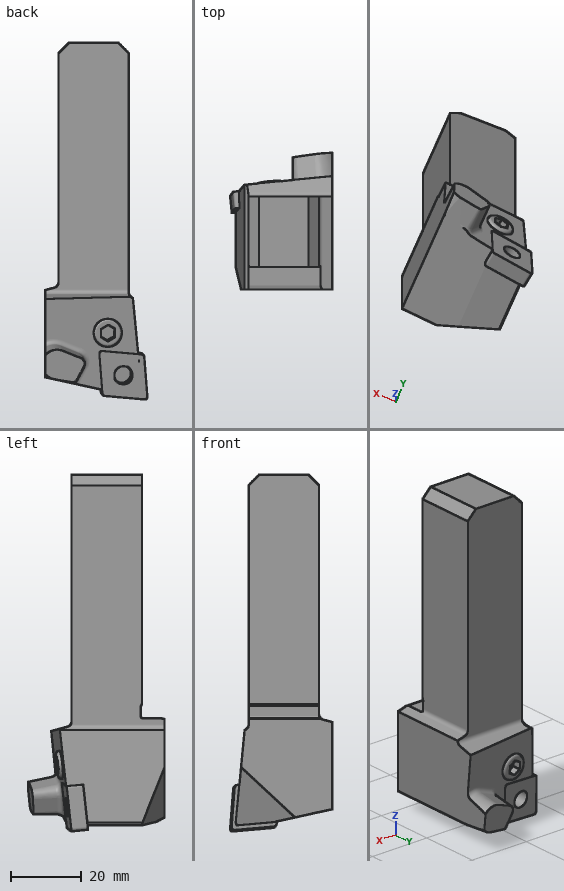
import cadquery as cq
import math

shank_width = 20.0
tool_top = 101.0
top_chamfer = 3.0
relief_depth = 0.3
relief_top = 36.1

head_right = 23.75
head_front = -6.4
outline_reach = 45.0
ledge_z = 32.1
ledge_root_radius = 0.5
ledge_margin = 1.0
shoulder_slope = math.tan(math.radians(15))
shoulder_radius = 1.4
side_shoulder_z = 31.0
back_shoulder_z = 30.0
left_radius = 1.6
left_hollow_top = 30.3
left_hollow_end = (-1.15, 28.75)
nose_upper = (-3.65, 2.5)
nose_lower = (-3.3, 1.75)
bottom_break = (7.4, 2.7)
bottom_right_z = 6.3
corner_cut_points = [(-2.1, head_front, 18.2), (13.2, head_front, 3.95), (-3.45, 0.0, 2.0)]

tilt_slope = math.tan(math.radians(5.75))
back_face_y = 25.75
back_face_z = 28.7

boss_wide = (21.2, 10.7, 5.1)
boss_low = (16.3, 6.6, 1.8)
boss_nose = (15.2, 10.8, 2.8)
boss_height = 8.12
boss_draft = 6.0
boss_root_fillet = 1.5

screw_centre = (6.0, 18.9)
screw_diameter = 8.0
screw_height = 1.0
screw_edge_radius = 0.8
socket_width = 4.0
socket_depth = 2.5

insert_corner = (-5.32, -0.08)
inscribed_diameter = 12.7
insert_angle = 80.0
insert_thickness = 4.76
insert_nose_radius = 0.8
insert_hole_diameter = 5.16
insert_edge = inscribed_diameter / math.sin(math.radians(insert_angle))
approach_angle = (90.0 - insert_angle) / 2

block_size = 200.0
cutter_size = 80.0
cut_start_x = -20.0
cut_length = 60.0
back_cut_reach = 12.0
root_search_radius = 20.0
tolerance = 0.01

back_normal = cq.Vector(-tilt_slope, 1, -tilt_slope).normalized()


def back_plane(x, z):
    """Plane on the back face at (x, z): local x runs up, local y runs towards +X."""
    y = back_face_y + tilt_slope * (x - head_right) + tilt_slope * (z - back_face_z)
    up = cq.Vector(0, 0, 1)
    up = up - back_normal * up.dot(back_normal)
    return cq.Plane(origin=(x, y, z), xDir=up, normal=back_normal)


def shoulder_fillet(foot_z):
    """Start, middle and end of the fillet from a wall at 0 to a shoulder falling away from foot_z."""
    slope_angle = math.atan(shoulder_slope)
    centre_z = foot_z - shoulder_radius * shoulder_slope + shoulder_radius / math.cos(slope_angle)
    end_angle = math.radians(270) - slope_angle
    angles = (math.pi, (math.pi + end_angle) / 2, end_angle)
    return [
        (shoulder_radius * (1 + math.cos(a)), centre_z + shoulder_radius * math.sin(a))
        for a in angles
    ]


def outline_prism():
    foot_z = side_shoulder_z + shoulder_slope * (head_right - shank_width)
    fillet = [(shank_width + d, z) for d, z in shoulder_fillet(foot_z)]
    hollow_start = (0, left_hollow_top)
    outline = (
        cq.Workplane("XZ", origin=(0, head_front, 0))
        .moveTo(*nose_lower)
        .lineTo(*bottom_break)
        .lineTo(head_right, bottom_right_z)
        .lineTo(head_right, side_shoulder_z)
        .lineTo(*fillet[2])
        .threePointArc(fillet[1], fillet[0])
        .lineTo(0, fillet[0][1])
        .lineTo(*hollow_start)
        .radiusArc(left_hollow_end, left_radius)
        .lineTo(*nose_upper)
        .close()
    )
    return outline.extrude(-outline_reach)


def boss_outline(plane):
    """Rounds joined by their outer tangents, in the axes of a plane centred on the wide round."""
    rounds = [
        (z - boss_wide[1], x - boss_wide[0], radius)
        for x, z, radius in (boss_wide, boss_low, boss_nose)
    ]

    def tangent_angle(start, end):
        """Angle of the outward normal of the tangent from one round to the next."""
        du = end[0] - start[0]
        dv = end[1] - start[1]
        return math.atan2(dv, du) - math.acos((start[2] - end[2]) / math.hypot(du, dv))

    def on_round(centre, angle):
        u, v, radius = centre
        return (u + radius * math.cos(angle), v + radius * math.sin(angle))

    count = len(rounds)
    leaving = [tangent_angle(rounds[i], rounds[(i + 1) % count]) for i in range(count)]
    outline = cq.Workplane(plane).moveTo(*on_round(rounds[-1], leaving[-1]))
    for i, centre in enumerate(rounds):
        arriving = leaving[i - 1]
        sweep = (leaving[i] - arriving) % (2 * math.pi)
        outline = outline.lineTo(*on_round(centre, arriving))
        outline = outline.threePointArc(
            on_round(centre, arriving + sweep / 2), on_round(centre, leaving[i])
        )
    return outline.close()


def screw_head():
    head = cq.Workplane(back_plane(*screw_centre)).circle(screw_diameter / 2).extrude(screw_height)
    return head.edges(cq.selectors.DirectionMinMaxSelector(back_normal)).fillet(screw_edge_radius)


def screw_socket():
    plane = back_plane(*screw_centre)
    across_corners = socket_width / math.cos(math.pi / 6)
    return (
        cq.Workplane(plane)
        .workplane(offset=screw_height)
        .polygon(6, across_corners)
        .extrude(-socket_depth)
    )


def backed_block():
    """Oversized block under the tilted back face, with the clamp boss and the screw head on it."""
    plane = back_plane(*boss_wide[:2])
    block = cq.Workplane(plane).rect(block_size, block_size).extrude(-block_size)
    block = block.union(boss_outline(plane).extrude(boss_height, taper=boss_draft))
    root_edges = []
    for edge in block.edges().vals():
        middle = plane.toLocalCoords(edge.Center())
        if abs(middle.z) < tolerance and middle.Length < root_search_radius:
            root_edges.append(edge)
    block = block.newObject(root_edges).fillet(boss_root_fillet)
    return block.union(screw_head()).cut(screw_socket())


def make_shank():
    shank = (
        cq.Workplane("XY", origin=(0, 0, left_hollow_top))
        .rect(shank_width, shank_width, centered=False)
        .extrude(tool_top - left_hollow_top)
        .faces(">Z").edges("|Y").chamfer(top_chamfer)
    )
    relief = (
        cq.Workplane("YZ")
        .polyline([
            (0, ledge_z),
            (relief_depth, ledge_z),
            (relief_depth, relief_top - 2 * relief_depth),
            (0, relief_top),
        ])
        .close()
        .extrude(shank_width)
    )
    return shank.cut(relief)


def back_shoulder_cut():
    fillet = [(shank_width + d, z) for d, z in shoulder_fillet(back_shoulder_z)]
    return (
        cq.Workplane("YZ", origin=(cut_start_x, 0, 0))
        .moveTo(shank_width, tool_top)
        .lineTo(*fillet[0])
        .threePointArc(fillet[1], fillet[2])
        .lineTo(shank_width + back_cut_reach, back_shoulder_z - shoulder_slope * back_cut_reach)
        .lineTo(shank_width + back_cut_reach, tool_top)
        .close()
        .extrude(cut_length)
    )


def ledge_cut():
    root_sag = ledge_root_radius * (1 - math.sqrt(0.5))
    return (
        cq.Workplane("YZ", origin=(cut_start_x, 0, 0))
        .moveTo(relief_depth, tool_top)
        .lineTo(relief_depth, ledge_z + ledge_root_radius)
        .threePointArc(
            (relief_depth - root_sag, ledge_z + root_sag),
            (relief_depth - ledge_root_radius, ledge_z),
        )
        .lineTo(head_front + ledge_margin, ledge_z)
        .lineTo(head_front, ledge_z - ledge_margin * shoulder_slope)
        .lineTo(head_front, tool_top)
        .close()
        .extrude(cut_length)
    )


def corner_cut():
    """Block outside the plane that bevels the lower -X, -Y corner."""
    a, b, c = [cq.Vector(*p) for p in corner_cut_points]
    normal = (b - a).cross(c - a).normalized()
    if normal.y > 0:
        normal = normal * -1
    plane = cq.Plane(origin=a, xDir=b - a, normal=normal)
    return cq.Workplane(plane).rect(cutter_size, cutter_size).extrude(cutter_size)


def insert_blank():
    up = math.radians(approach_angle)
    across = math.radians(approach_angle + insert_angle)
    up_edge = (insert_edge * math.cos(up), insert_edge * math.sin(up))
    across_edge = (insert_edge * math.cos(across), insert_edge * math.sin(across))
    far_corner = (up_edge[0] + across_edge[0], up_edge[1] + across_edge[1])
    plane = back_plane(*insert_corner)
    blank = (
        cq.Workplane(plane)
        .polyline([(0, 0), up_edge, far_corner, across_edge])
        .close()
        .extrude(-insert_thickness)
        .edges(cq.selectors.ParallelDirSelector(back_normal))
        .fillet(insert_nose_radius)
    )
    hole = (
        cq.Workplane(plane)
        .center(far_corner[0] / 2, far_corner[1] / 2)
        .circle(insert_hole_diameter / 2)
        .extrude(-insert_thickness)
    )
    return blank, hole


insert_body, insert_hole = insert_blank()
holder = backed_block().intersect(outline_prism())
holder = holder.cut(back_shoulder_cut()).cut(ledge_cut()).cut(corner_cut()).union(make_shank())
holder = holder.cut(insert_body)
insert = insert_body.cut(insert_hole)

result = cq.Compound.makeCompound([holder.solids().val(), insert.solids().val()])